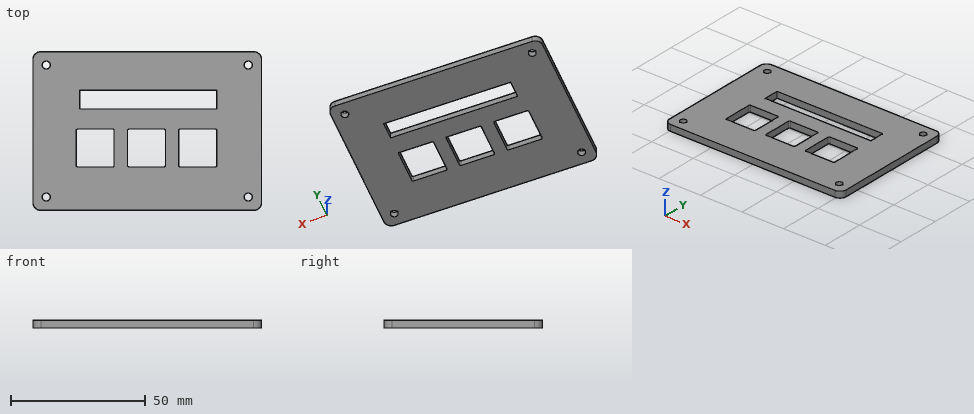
import cadquery as cq

PLATE_LENGTH = 85.0
PLATE_WIDTH = 59.0
PLATE_THICKNESS = 3.0
CORNER_RADIUS = 3.0

HOLE_DIAMETER = 2.9
HOLE_INSET = 5.0

KEY_COUNT = 3
KEY_SIZE = 14.0
KEY_PITCH = 19.05
KEY_CORNER_RADIUS = 0.5
KEY_ROW_X = -0.3
KEY_ROW_Y = -6.3

WINDOW_LENGTH = 50.8
WINDOW_WIDTH = 6.9
WINDOW_Y = 11.65
WINDOW_RIGHT_X = KEY_ROW_X + (KEY_COUNT - 1) / 2 * KEY_PITCH + KEY_SIZE / 2
WINDOW_X = WINDOW_RIGHT_X - WINDOW_LENGTH / 2


def make_plate():
    """Rounded plate resting on the XY plane, centred on the Z axis."""
    plate = cq.Workplane("XY").rect(PLATE_LENGTH, PLATE_WIDTH).extrude(PLATE_THICKNESS)
    return plate.edges("|Z").fillet(CORNER_RADIUS)


def make_mounting_holes():
    """Cylinders for the four through holes."""
    return (
        cq.Workplane("XY")
        .rect(PLATE_LENGTH - 2 * HOLE_INSET, PLATE_WIDTH - 2 * HOLE_INSET, forConstruction=True)
        .vertices()
        .circle(HOLE_DIAMETER / 2)
        .extrude(PLATE_THICKNESS)
    )


def make_key_openings():
    """Round-cornered blocks for the row of key openings."""
    return (
        cq.Workplane("XY")
        .center(KEY_ROW_X, KEY_ROW_Y)
        .rarray(KEY_PITCH, 1, KEY_COUNT, 1)
        .rect(KEY_SIZE, KEY_SIZE)
        .extrude(PLATE_THICKNESS)
        .edges("|Z")
        .fillet(KEY_CORNER_RADIUS)
    )


def make_window():
    """Sharp-cornered block for the display window."""
    return (
        cq.Workplane("XY")
        .center(WINDOW_X, WINDOW_Y)
        .rect(WINDOW_LENGTH, WINDOW_WIDTH)
        .extrude(PLATE_THICKNESS)
    )


result = make_plate().cut(make_mounting_holes()).cut(make_key_openings()).cut(make_window())